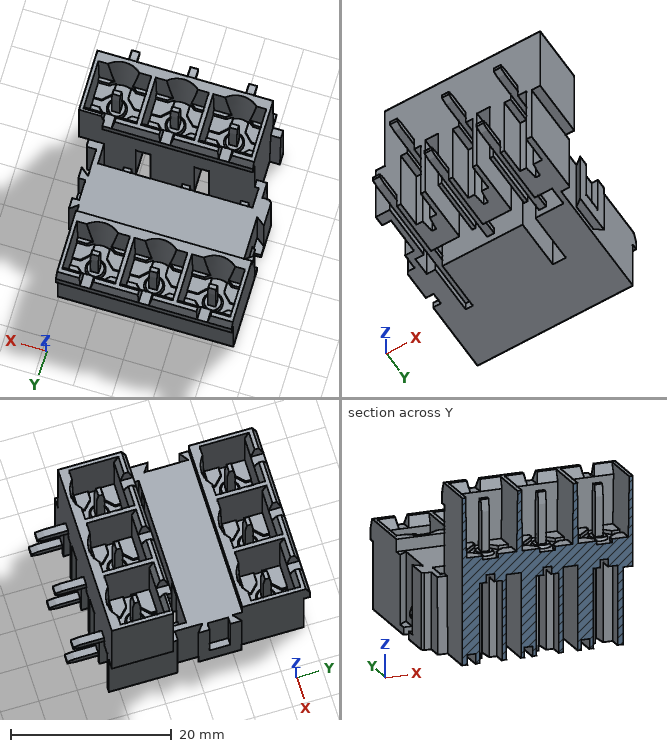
import cadquery as cq
import math


POLES = 3
ROW_LENGTH = 22.85
PITCH = ROW_LENGTH / POLES
ROW_SHIFT = 2.55
REAR_TOP = 11.85
FRONT_TOP = 22.15
REAR_Y = 17.8
DECK_TOP = 10.2
DECK_FRONT = 10.7
ROW_END_RIGHT = ROW_SHIFT + ROW_LENGTH
BASE_RIGHT = 24.15

ROW_DEPTH = 8.82
LIP_OVERHANG = 0.8
LIP_HEIGHT = 2.9
LIP_BEVEL = 0.55
BEVEL_HEIGHT = 1.4
BODY_DEPTH = ROW_DEPTH - LIP_OVERHANG
LIP_CUT_X = 22.1

SOCKET_PITCH = 7.47
SOCKET_WIDTH = 6.9
SOCKET_DEPTH = 7.95
SOCKET_FRONT = 1.3
SOCKET_BACK = 7.15
LEAD_IN = 0.58
SIDE_DRAFT = 0.12
LEDGE_WIDTH = 0.45
LEDGE_HEIGHT = 0.92
GROOVE_CENTRE = 3.6
GROOVE_RIM_RADIUS = 3.1
GROOVE_FLOOR_RADIUS = 2.55
NOTCH_FLOOR_WIDTH = 1.32
NOTCH_RIM_WIDTH = 1.85
CROSS_DEPTH = 0.5
CROSS_SIDE_ARM = 1.0
CROSS_FRONT_ARM = 2.0
CROSS_BACK_ARM = 0.8
CROSS_SIDE_REACH = 2.1
CROSS_FRONT_REACH = 1.6
CROSS_BACK_REACH = 2.17
BOSS_RADIUS = 1.3
BOSS_TOP_RADIUS = 1.07
BOSS_HEIGHT = 0.37

PIN = 1.05
PIN_Y = 4.23
PIN_TIP_DROP = 1.3
PIN_PROJECTION = 4.0
TIP_LENGTH = 0.98
TIP_THICKNESS = 0.55
CONTACT_TAPER = 1.53
REAR_PIN_Z = 1.85
FRONT_PIN_Z = 12.07

WIDE_SLOT_TOP = 10.55
WIDE_SLOT_DEPTH = 3.68
WIDE_SLOT_WIDTH = 2.95
LAST_SLOT_WIDTH = 3.22
WIDE_SLOT_REACH = 1.45
FIN = 0.65
NARROW_SLOT_WIDTH = 1.9
NARROW_SLOT_TOP = 11.25
PIN_SLOT_END = 5.5
PIN_SLOT_END_WIDTH = 0.58
DECK_SLOT_TOP = 9.2
DECK_SLOT_END = REAR_Y

RIB_LEFT = 1.23
FRAME_LEFT_INNER = 2.02
FRAME_BACK = 9.1
FRAME_CHAMFER = 0.3
FOOT_BACK = 9.0
FOOT_CHAMFER = 0.12
FRAME_FRONT_TOP = 7.08
FRAME_FRONT_BOTTOM = 6.85
RIB_DEPTH_TOP = 1.05
RIB_DEPTH_BOTTOM = 1.5

DOVETAIL_Y = 14.55
DOVETAIL_FLOOR = 1.0
GROOVE_NECK = 4.07
GROOVE_INNER = 5.73
GROOVE_DEPTH = 1.13
DRAIN_WIDTH = 1.68
BUMP_PROJECTION = 0.35
BUMP_BOTTOM = 2.0
BUMP_CREST_LOW = 2.48
BUMP_CREST_HIGH = 2.73
BUMP_TOP = 3.65
TONGUE_NECK = 3.95
TONGUE_OUTER = 5.65
TONGUE_REACH = 1.07
WINDOW_WIDTH = 2.7
WINDOW_INSET = 0.15


def box(x0, x1, y0, y1, z0, z1):
    return cq.Workplane("XY").box(x1 - x0, y1 - y0, z1 - z0, centered=False).translate((x0, y0, z0))


def along_x(points, x0, x1):
    """Extrude a (y, z) outline from x0 to x1."""
    return cq.Workplane("YZ", origin=(x0, 0, 0)).polyline(points).close().extrude(x1 - x0)


def upright(points, z0, z1):
    """Extrude an (x, y) outline from z0 to z1."""
    return cq.Workplane("XY", origin=(0, 0, z0)).polyline(points).close().extrude(z1 - z0)


def row_body(x0, y0, top):
    """Solid row with its bevelled latching lip along the back."""
    outline = [
        (y0, 0),
        (y0 + BODY_DEPTH, 0),
        (y0 + BODY_DEPTH, top - LIP_HEIGHT),
        (y0 + ROW_DEPTH, top - LIP_HEIGHT),
        (y0 + ROW_DEPTH, top - BEVEL_HEIGHT),
        (y0 + ROW_DEPTH - LIP_BEVEL, top),
        (y0, top),
    ]
    return along_x(outline, x0, x0 + ROW_LENGTH)


def pin_positions(x0):
    return [x0 + (i + 0.5) * PITCH for i in range(POLES)]


def socket(pin_x, centre_x, y0, top):
    """Space removed for one socket: cavity, lead-in, groove, notch and floor cross."""
    floor = top - SOCKET_DEPTH
    half = SOCKET_WIDTH / 2
    front = y0 + SOCKET_FRONT
    back = y0 + SOCKET_BACK
    section = [
        (front + LEDGE_WIDTH, floor),
        (back, floor),
        (back, top - BEVEL_HEIGHT),
        (back + LEAD_IN, top),
        (front, top),
        (front, floor + LEDGE_HEIGHT),
        (front + LEDGE_WIDTH, floor + LEDGE_HEIGHT),
    ]
    sides = [
        (centre_x - half, top),
        (centre_x + half, top),
        (centre_x + half - SIDE_DRAFT, floor),
        (centre_x - half + SIDE_DRAFT, floor),
    ]
    drafted = cq.Workplane("XZ", origin=(0, y0, 0)).polyline(sides).close().extrude(-ROW_DEPTH)
    space = along_x(section, centre_x - half, centre_x + half).intersect(drafted)

    cone = cq.Workplane("XY").add(cq.Solid.makeCone(
        GROOVE_FLOOR_RADIUS, GROOVE_RIM_RADIUS, SOCKET_DEPTH, cq.Vector(pin_x, y0 + GROOVE_CENTRE, floor)))
    groove_left = pin_x - GROOVE_RIM_RADIUS
    groove_right = pin_x + GROOVE_RIM_RADIUS
    front_part = box(groove_left, groove_right, y0, front + LEDGE_WIDTH, floor, top)
    space = space.union(cone.intersect(front_part))

    notch = [
        (pin_x - NOTCH_FLOOR_WIDTH / 2, top - BEVEL_HEIGHT),
        (pin_x + NOTCH_FLOOR_WIDTH / 2, top - BEVEL_HEIGHT),
        (pin_x + NOTCH_RIM_WIDTH / 2, top),
        (pin_x - NOTCH_RIM_WIDTH / 2, top),
    ]
    lip_depth = ROW_DEPTH - SOCKET_BACK
    space = space.union(cq.Workplane("XZ", origin=(0, back, 0)).polyline(notch).close().extrude(-lip_depth))

    left = centre_x - half + SIDE_DRAFT
    right = centre_x + half - SIDE_DRAFT
    pin_y = y0 + PIN_Y
    side = CROSS_SIDE_ARM / 2
    front_arm = CROSS_FRONT_ARM / 2
    back_arm = CROSS_BACK_ARM / 2
    arc_centre = y0 + GROOVE_CENTRE
    arm_end = arc_centre - math.sqrt(GROOVE_FLOOR_RADIUS**2 - front_arm**2)
    cross = [
        (pin_x + front_arm, arm_end),
        (pin_x + front_arm, pin_y - CROSS_FRONT_REACH),
        (pin_x + CROSS_SIDE_REACH, pin_y - side),
        (right, pin_y - side),
        (right, pin_y + side),
        (pin_x + CROSS_SIDE_REACH, pin_y + side),
        (pin_x + back_arm, pin_y + CROSS_BACK_REACH),
        (pin_x + back_arm, back),
        (pin_x - back_arm, back),
        (pin_x - back_arm, pin_y + CROSS_BACK_REACH),
        (pin_x - CROSS_SIDE_REACH, pin_y + side),
        (left, pin_y + side),
        (left, pin_y - side),
        (pin_x - CROSS_SIDE_REACH, pin_y - side),
        (pin_x - front_arm, pin_y - CROSS_FRONT_REACH),
        (pin_x - front_arm, arm_end),
    ]
    arm_tip = (pin_x, arc_centre - GROOVE_FLOOR_RADIUS)
    cross_floor = cq.Workplane("XY", origin=(0, 0, floor - CROSS_DEPTH))
    cross_outline = cross_floor.polyline(cross).threePointArc(arm_tip, cross[0]).close()
    return space.union(cross_outline.extrude(CROSS_DEPTH))


def pin(x, y0, top, tail_z):
    """Bent square pin: tapered contact upright in the socket, tail out of the front."""
    y = y0 + PIN_Y
    half = PIN / 2
    tip = TIP_THICKNESS / 2
    tip_z = top - PIN_TIP_DROP
    outline = [
        (-PIN_PROJECTION, tail_z - tip),
        (-PIN_PROJECTION + TIP_LENGTH, tail_z - half),
        (y + half, tail_z - half),
        (y + half, tip_z - CONTACT_TAPER),
        (y + tip, tip_z),
        (y - tip, tip_z),
        (y - half, tip_z - CONTACT_TAPER),
        (y - half, tail_z + half),
        (-PIN_PROJECTION + TIP_LENGTH, tail_z + half),
        (-PIN_PROJECTION, tail_z + tip),
    ]
    return along_x(outline, x - half, x + half)


def boss(x, y0, top):
    """Conical collar round the foot of a contact."""
    base = top - SOCKET_DEPTH - CROSS_DEPTH
    return cq.Workplane("XY").add(cq.Solid.makeCone(
        BOSS_RADIUS, BOSS_TOP_RADIUS, BOSS_HEIGHT, cq.Vector(x, y0 + PIN_Y, base)))


def dovetail(x_neck, x_wide, neck, wide, z0, z1):
    return upright([
        (x_neck, DOVETAIL_Y - neck / 2),
        (x_wide, DOVETAIL_Y - wide / 2),
        (x_wide, DOVETAIL_Y + wide / 2),
        (x_neck, DOVETAIL_Y + neck / 2),
    ], z0, z1)


def frame():
    """Deck with the side arms that hold the front row."""
    deck = box(0, ROW_LENGTH, DECK_FRONT, REAR_Y, 0, DECK_TOP)
    left_arm = upright([
        (RIB_LEFT, FRAME_BACK),
        (FRAME_CHAMFER, FRAME_BACK),
        (0, FRAME_BACK + FRAME_CHAMFER),
        (0, DECK_FRONT),
        (FRAME_LEFT_INNER, DECK_FRONT),
        (FRAME_LEFT_INNER, BODY_DEPTH),
        (RIB_LEFT, BODY_DEPTH),
    ], 0, DECK_TOP)
    left_link = along_x([
        (FRAME_FRONT_BOTTOM, 0),
        (FRAME_BACK, 0),
        (FRAME_BACK, DECK_TOP),
        (FRAME_FRONT_TOP, DECK_TOP),
    ], RIB_LEFT, FRAME_LEFT_INNER)
    left_tie = along_x([
        (FRAME_FRONT_BOTTOM, 0),
        (BODY_DEPTH, 0),
        (BODY_DEPTH, DECK_TOP),
        (FRAME_FRONT_TOP, DECK_TOP),
    ], FRAME_LEFT_INNER, ROW_SHIFT)
    corner_rib = along_x([
        (0, 0),
        (RIB_DEPTH_BOTTOM, 0),
        (RIB_DEPTH_TOP, DECK_TOP),
        (0, DECK_TOP),
    ], RIB_LEFT, ROW_SHIFT)
    right_arm = box(LIP_CUT_X, ROW_LENGTH, BODY_DEPTH, DECK_FRONT, 0, DECK_TOP)
    foot = box(ROW_LENGTH, BASE_RIGHT, BODY_DEPTH, FOOT_BACK, 0, DECK_TOP)
    foot = foot.edges("|Z and >X and >Y").chamfer(FOOT_CHAMFER)
    body = deck
    for piece in (left_arm, left_link, left_tie, corner_rib, right_arm, foot):
        body = body.union(piece)
    return body


def add_dovetails(body):
    body = body.cut(dovetail(0, GROOVE_DEPTH, GROOVE_NECK, GROOVE_INNER, DOVETAIL_FLOOR, DECK_TOP))
    y0 = DOVETAIL_Y - DRAIN_WIDTH / 2
    y1 = DOVETAIL_Y + DRAIN_WIDTH / 2
    body = body.cut(box(0, GROOVE_DEPTH, y0, y1, 0, DOVETAIL_FLOOR))
    crest = GROOVE_DEPTH - BUMP_PROJECTION
    bump = [
        (GROOVE_DEPTH, BUMP_BOTTOM),
        (crest, BUMP_CREST_LOW),
        (crest, BUMP_CREST_HIGH),
        (GROOVE_DEPTH, BUMP_TOP),
    ]
    body = body.union(cq.Workplane("XZ", origin=(0, y0, 0)).polyline(bump).close().extrude(-DRAIN_WIDTH))

    outer = ROW_LENGTH + TONGUE_REACH
    tongue = dovetail(ROW_LENGTH, outer, TONGUE_NECK, TONGUE_OUTER, DOVETAIL_FLOOR, DECK_TOP)
    window = box(ROW_LENGTH + WINDOW_INSET, outer, DOVETAIL_Y - WINDOW_WIDTH / 2,
                 DOVETAIL_Y + WINDOW_WIDTH / 2, BUMP_TOP, DECK_TOP)
    return body.union(tongue.cut(window))


def cut_wide_slots(body):
    """Blind slots round the front pins, each with a pin slot narrowing behind it."""
    half = PIN / 2
    end = PIN_SLOT_END_WIDTH / 2
    widths = [WIDE_SLOT_WIDTH] * (POLES - 1) + [LAST_SLOT_WIDTH]
    for x, width in zip(pin_positions(ROW_SHIFT), widths):
        left = x - WIDE_SLOT_REACH
        body = body.cut(box(left, left + width, 0, WIDE_SLOT_DEPTH, 0, WIDE_SLOT_TOP))
        body = body.cut(upright([
            (x - half, 0),
            (x + half, 0),
            (x + half, WIDE_SLOT_DEPTH),
            (x + end, PIN_SLOT_END),
            (x - end, PIN_SLOT_END),
            (x - half, WIDE_SLOT_DEPTH),
        ], 0, FRONT_PIN_Z + half))
    return body


def cut_narrow_slots(body):
    """Slots through the front row between its pins; the last one enters the deck too."""
    offset = WIDE_SLOT_WIDTH - WIDE_SLOT_REACH + FIN
    slot_lefts = [x + offset for x in pin_positions(ROW_SHIFT)[:-1]]
    for left in slot_lefts:
        body = body.cut(box(left, left + NARROW_SLOT_WIDTH, 0, ROW_DEPTH, 0, NARROW_SLOT_TOP))
    last = slot_lefts[-1]
    return body.cut(box(last, last + NARROW_SLOT_WIDTH, DECK_FRONT, DECK_SLOT_END, 0, DECK_SLOT_TOP))


def cut_rear_pin_passages(body):
    """Passages for the rear tails, with a tall slot in the deck at the first pin."""
    half = PIN / 2
    rear_pins = pin_positions(0)
    for x in rear_pins:
        body = body.cut(box(x - half, x + half, 0, DECK_FRONT, 0, REAR_PIN_Z + half))
    first = rear_pins[0]
    return body.cut(box(first - half, first + half, DECK_FRONT, DECK_SLOT_END, 0, DECK_SLOT_TOP))


rows = ((0, REAR_Y, REAR_TOP, REAR_PIN_Z), (ROW_SHIFT, 0, FRONT_TOP, FRONT_PIN_Z))

front_row = row_body(ROW_SHIFT, 0, FRONT_TOP)
front_row = front_row.cut(box(BASE_RIGHT, ROW_END_RIGHT, 0, ROW_DEPTH, 0, DECK_TOP))
front_row = front_row.cut(box(LIP_CUT_X, ROW_END_RIGHT, BODY_DEPTH, ROW_DEPTH, DECK_TOP, FRONT_TOP))

result = row_body(0, REAR_Y, REAR_TOP).union(front_row).union(frame())
result = add_dovetails(result)
result = cut_wide_slots(result)
result = cut_narrow_slots(result)
result = cut_rear_pin_passages(result)
for row_x, row_y, row_top, tail_z in rows:
    row_middle = row_x + ROW_LENGTH / 2
    for pole, pole_x in enumerate(pin_positions(row_x)):
        socket_x = row_middle + (pole - (POLES - 1) / 2) * SOCKET_PITCH
        result = result.cut(socket(pole_x, socket_x, row_y, row_top))
        result = result.union(boss(pole_x, row_y, row_top))
        result = result.union(pin(pole_x, row_y, row_top, tail_z))